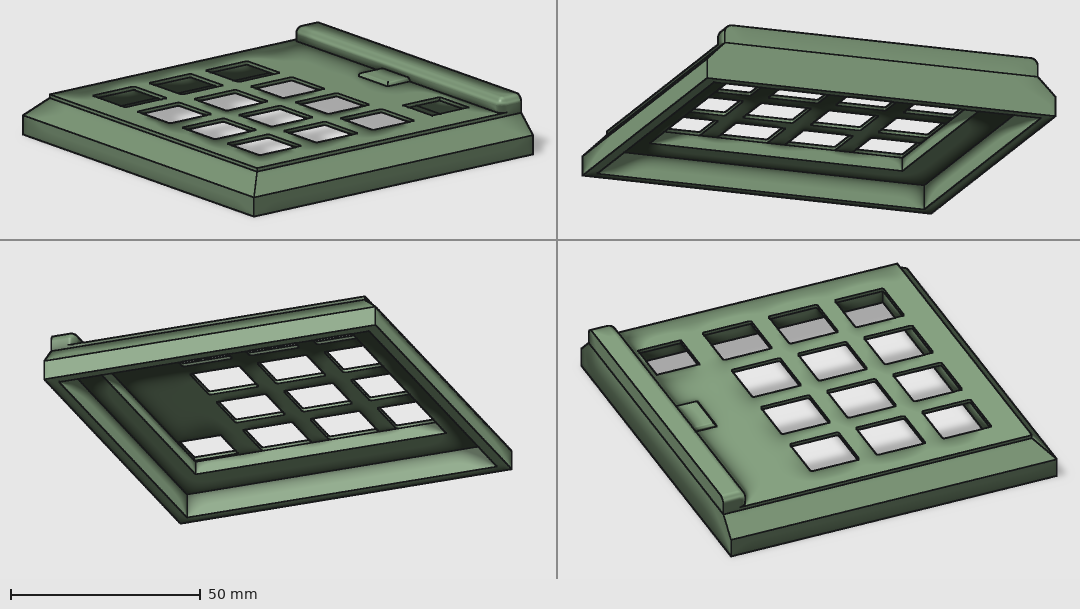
import cadquery as cq

LENGTH = 98.1
DEPTH = 93.9
BEVEL = 5.0
BEVEL_BASE_Z = 5.3
HOUSING_TOP_Z = BEVEL_BASE_Z + BEVEL
HOUSING_WALL = 3.0
CAVITY_ROOF_Z = 6.7

TOTAL_HEIGHT = 15.3
PLATE_THICKNESS = 1.0
PLATE_TOP_Z = HOUSING_TOP_Z + PLATE_THICKNESS
BAR_DEPTH = 7.0
BAR_ROUND = 4.1 / 2
BAR_FRONT_Y = DEPTH - BAR_DEPTH

KEY_COLUMNS = 4
KEY_ROWS = 3
KEY_PITCH = 19.0
KEY_SIZE = 14.0
KEY_CORNER_RADIUS = 0.6
FIRST_KEY_X = 19.9
FIRST_KEY_Y = 20.1
KNOB_SIZE = 12.4
KNOB_Y = 77.9
LAST_KEY_X = FIRST_KEY_X + (KEY_COLUMNS - 1) * KEY_PITCH

WINDOW_LEFT_X = FIRST_KEY_X - KEY_SIZE / 2
WINDOW_RIGHT_X = LAST_KEY_X + KEY_SIZE / 2
WINDOW_FRONT_Y = FIRST_KEY_Y - KEY_SIZE / 2
WINDOW_REAR_Y = KNOB_Y + KNOB_SIZE / 2

TAB_WIDTH = 12.4
TAB_HEIGHT = 1.0
TAB_ROUND = 0.97
TAB_FRONT_Y = 79.5
TAB_INSERTION = 2.0
TAB_X = 48.4


def box(x_range, y_range, z_range):
    """Axis-aligned box between the given pairs of limits."""
    (x0, x1), (y0, y1), (z0, z1) = x_range, y_range, z_range
    return cq.Workplane("XY").box(x1 - x0, y1 - y0, z1 - z0, centered=False).translate((x0, y0, z0))


def make_housing():
    """Bevelled block, hollow below, with a window under the openings of the cover."""
    block = box((0, LENGTH), (0, DEPTH), (0, HOUSING_TOP_Z))
    block = block.faces(">Z").edges("<X or >X or <Y").chamfer(BEVEL)
    cavity = box(
        (HOUSING_WALL, LENGTH - HOUSING_WALL),
        (HOUSING_WALL, DEPTH - HOUSING_WALL),
        (0, CAVITY_ROOF_Z),
    )
    window = box(
        (WINDOW_LEFT_X, WINDOW_RIGHT_X),
        (WINDOW_FRONT_Y, WINDOW_REAR_Y),
        (0, HOUSING_TOP_Z),
    )
    return block.cut(cavity).cut(window)


def make_bar():
    """Bar with its front corners and its left, right and front top edges rounded."""
    bar = box((BEVEL, LENGTH - BEVEL), (BAR_FRONT_Y, DEPTH), (HOUSING_TOP_Z, TOTAL_HEIGHT))
    bar = bar.faces("<Y").edges("|Z").fillet(BAR_ROUND)
    return bar.faces(">Z").edges("not >Y").fillet(BAR_ROUND)


def make_openings():
    """Solids filling the key and knob openings of the plate."""
    key_centres = [
        (FIRST_KEY_X + column * KEY_PITCH, FIRST_KEY_Y + row * KEY_PITCH)
        for column in range(KEY_COLUMNS)
        for row in range(KEY_ROWS)
    ]
    plane = cq.Workplane("XY").workplane(offset=HOUSING_TOP_Z)
    keys = plane.pushPoints(key_centres).rect(KEY_SIZE, KEY_SIZE).extrude(PLATE_THICKNESS)
    keys = keys.edges("|Z").fillet(KEY_CORNER_RADIUS)
    knob = plane.center(LAST_KEY_X, KNOB_Y).rect(KNOB_SIZE, KNOB_SIZE).extrude(PLATE_THICKNESS)
    return keys.union(knob)


def make_tab():
    """Flat lug with rounded front and side top edges."""
    tab = box(
        (TAB_X - TAB_WIDTH / 2, TAB_X + TAB_WIDTH / 2),
        (TAB_FRONT_Y, BAR_FRONT_Y + TAB_INSERTION),
        (PLATE_TOP_Z, PLATE_TOP_Z + TAB_HEIGHT),
    )
    return tab.faces(">Z").edges("not >Y").fillet(TAB_ROUND)


def make_cover(tab):
    """Plate and bar in one piece, with the openings and a recess matching the tab."""
    plate = box((BEVEL, LENGTH - BEVEL), (BEVEL, DEPTH), (HOUSING_TOP_Z, PLATE_TOP_Z))
    return make_bar().union(plate).cut(make_openings()).cut(tab)


housing = make_housing()
tab = make_tab()
cover = make_cover(tab)

result = cq.Compound.makeCompound([housing.val(), cover.val(), tab.val()])